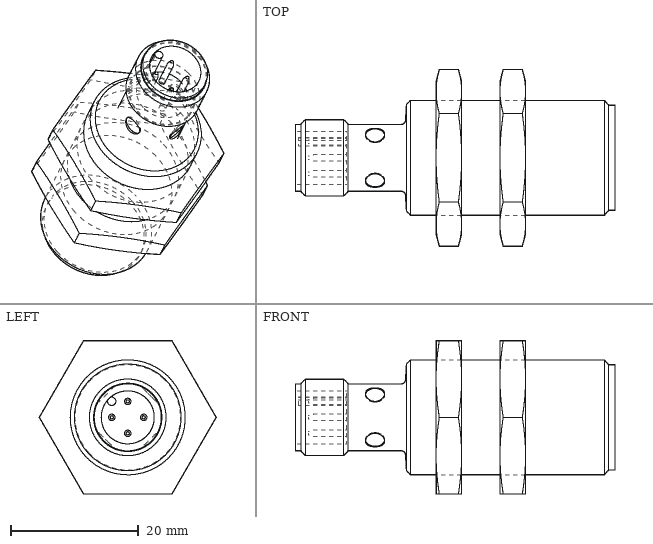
import cadquery as cq
import math

LENGTH = 49.95
TIP_X = -LENGTH / 2
EDGE_CHAMFER = 0.65

NECK_RADIUS = 5.25
COLLAR_RADIUS = 6.0
COLLAR_START = 0.9
COLLAR_END = 8.2
COLLAR_CHAMFER_HEIGHT = 0.65
COLLAR_CHAMFER_ROOT = COLLAR_RADIUS - COLLAR_CHAMFER_HEIGHT
NECK_FILLET = 0.65

BARREL_START = 17.2
BARREL_RADIUS = 9.0
SHOULDER_RADIUS = BARREL_RADIUS - EDGE_CHAMFER
SHOULDER_RISE = 0.15
END_CAP_RADIUS = 8.25
END_CAP_LENGTH = 1.0
BARREL_END = LENGTH - END_CAP_LENGTH
END_CHAMFER = 0.65

SOCKET_RADIUS = 4.15
SOCKET_DEPTH = 8.0
PIN_COUNT = 4
PIN_RADIUS = 0.5
PIN_CIRCLE_RADIUS = 2.5
PIN_TIP_DEPTH = 2.0
PIN_TIP_LENGTH = 0.85
PIN_TIP_INSET = 0.25
KEY_RADIUS = 0.65
KEY_OFFSET = 3.55
KEY_ANGLE = 45.0
KEY_START = 0.5

WINDOW_COUNT = 4
WINDOW_RADIUS = 1.5
WINDOW_X = 12.45
WINDOW_FLOOR_RADIUS = 4.9

NUT_STARTS = (22.0, 32.0)
NUT_WIDTH = 4.0
NUT_ACROSS_FLATS = 24.0
NUT_CORNER_CHAMFER = 0.5
NUT_CORNER_RADIUS = NUT_ACROSS_FLATS / math.sqrt(3)


def cross_section(station):
    """YZ workplane facing +X at a distance from the plug tip."""
    return cq.Workplane("YZ", origin=(TIP_X + station, 0, 0))


def revolve_about_x(profile):
    return profile.close().revolve(360, (0, 0, 0), (1, 0, 0))


def make_shell():
    """Turned outside shape of the sensor housing."""
    fillet_mid = NECK_FILLET * math.sin(math.radians(45))
    fillet_start = BARREL_START - NECK_FILLET
    fillet_top = NECK_RADIUS + NECK_FILLET
    profile = (
        cq.Workplane("XY", origin=(TIP_X, 0, 0))
        .lineTo(0, NECK_RADIUS)
        .lineTo(COLLAR_START, NECK_RADIUS)
        .lineTo(COLLAR_START, COLLAR_CHAMFER_ROOT)
        .lineTo(COLLAR_START + EDGE_CHAMFER, COLLAR_RADIUS)
        .lineTo(COLLAR_END - EDGE_CHAMFER, COLLAR_RADIUS)
        .lineTo(COLLAR_END, COLLAR_CHAMFER_ROOT)
        .lineTo(COLLAR_END, NECK_RADIUS)
        .lineTo(fillet_start, NECK_RADIUS)
        .threePointArc(
            (fillet_start + fillet_mid, fillet_top - fillet_mid),
            (BARREL_START, fillet_top),
        )
        .lineTo(BARREL_START + SHOULDER_RISE, SHOULDER_RADIUS)
        .lineTo(BARREL_START + SHOULDER_RISE + EDGE_CHAMFER, BARREL_RADIUS)
        .lineTo(BARREL_END - END_CHAMFER, BARREL_RADIUS)
        .lineTo(BARREL_END, END_CAP_RADIUS)
        .lineTo(LENGTH, END_CAP_RADIUS)
        .lineTo(LENGTH, 0)
    )
    return revolve_about_x(profile)


def make_socket():
    return cross_section(0).circle(SOCKET_RADIUS).extrude(SOCKET_DEPTH)


def make_pins():
    """Chamfered contact pins standing on the socket floor."""
    return (
        cross_section(PIN_TIP_DEPTH)
        .polarArray(PIN_CIRCLE_RADIUS, 0, 360, PIN_COUNT)
        .circle(PIN_RADIUS)
        .extrude(SOCKET_DEPTH - PIN_TIP_DEPTH)
        .faces("<X")
        .chamfer(PIN_TIP_LENGTH, PIN_TIP_INSET)
    )


def make_key():
    """Round keying rib along the socket wall."""
    return (
        cross_section(KEY_START)
        .polarArray(KEY_OFFSET, KEY_ANGLE, 360, 1)
        .circle(KEY_RADIUS)
        .extrude(SOCKET_DEPTH - KEY_START)
    )


def make_windows():
    """Cutters for the flat-bottomed recesses spaced around the neck."""
    cutter = (
        cq.Workplane("XY", origin=(TIP_X + WINDOW_X, 0, WINDOW_FLOOR_RADIUS))
        .circle(WINDOW_RADIUS)
        .extrude(NECK_RADIUS)
    )
    pitch = 360 / WINDOW_COUNT
    cutters = cq.Workplane("XY")
    for index in range(WINDOW_COUNT):
        cutters = cutters.add(cutter.rotate((0, 0, 0), (1, 0, 0), pitch * (index + 0.5)))
    return cutters.combine()


def make_housing():
    housing = make_shell().cut(make_socket())
    housing = housing.union(make_pins()).union(make_key())
    return housing.cut(make_windows())


def make_nut(start):
    """Hexagon nut with both faces coned off at the corners, bored to fit the barrel."""
    hexagon = cross_section(start).polygon(6, 2 * NUT_CORNER_RADIUS).extrude(NUT_WIDTH)
    flat_radius = NUT_ACROSS_FLATS / 2
    cone_envelope = revolve_about_x(
        cq.Workplane("XY", origin=(TIP_X + start, 0, 0))
        .lineTo(0, flat_radius)
        .lineTo(NUT_CORNER_CHAMFER, NUT_CORNER_RADIUS)
        .lineTo(NUT_WIDTH - NUT_CORNER_CHAMFER, NUT_CORNER_RADIUS)
        .lineTo(NUT_WIDTH, flat_radius)
        .lineTo(NUT_WIDTH, 0)
    )
    bore = cross_section(start).circle(BARREL_RADIUS).extrude(NUT_WIDTH)
    return hexagon.intersect(cone_envelope).cut(bore)


housing = make_housing()
nuts = [make_nut(start) for start in NUT_STARTS]

result = cq.Compound.makeCompound([housing.val(), *[nut.val() for nut in nuts]])